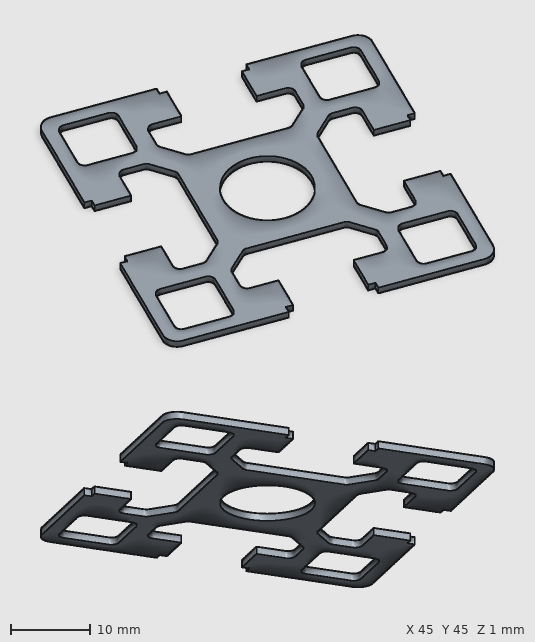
import cadquery as cq
import math


side = 45.0
thickness = 1.0
corner_radius = 2.0
half_side = side / 2

bore_diameter = 12.0

rebate_width = 12.2
rebate_depth = 1.0
mouth_width = 10.2
lip_thickness = 6.0
cavity_width = 20.0
core_width = 19.0
slot_corner_radius = 1.0

web_thickness = 3.5
web_offset = web_thickness / math.sqrt(2)

window_size = 8.05
wall_thickness = 2.0
window_radius = 1.0
window_center = half_side - wall_thickness - window_size / 2


def make_plate():
    plate = cq.Workplane("XY").rect(side, side).extrude(thickness)
    return plate.edges("|Z").fillet(corner_radius)


def make_slot():
    """Cutter for the slot that opens on the +Y side."""
    rebate_floor = half_side - rebate_depth
    lip_back = half_side - lip_thickness
    slot_floor = core_width / 2
    cavity_half_width = cavity_width / 2

    mouth_side = [
        (rebate_width / 2, half_side),
        (rebate_width / 2, rebate_floor),
        (mouth_width / 2, rebate_floor),
        (mouth_width / 2, lip_back),
    ]
    cavity_side = [
        (cavity_half_width, lip_back),
        (cavity_half_width, cavity_half_width + web_offset),
        (slot_floor - web_offset, slot_floor),
    ]
    right_half = mouth_side + cavity_side
    left_half = [(-x, y) for x, y in reversed(right_half)]
    slot = cq.Workplane("XY").polyline(right_half + left_half).close().extrude(thickness)

    for x, y in cavity_side:
        for corner_x in (x, -x):
            corner_edge = cq.selectors.NearestToPointSelector((corner_x, y, thickness / 2))
            slot = slot.edges("|Z").edges(corner_edge).fillet(slot_corner_radius)
    return slot


def make_windows():
    windows = (
        cq.Workplane("XY")
        .rect(2 * window_center, 2 * window_center, forConstruction=True)
        .vertices()
        .rect(window_size, window_size)
        .extrude(thickness)
    )
    return windows.edges("|Z").fillet(window_radius)


def make_bore():
    return cq.Workplane("XY").circle(bore_diameter / 2).extrude(thickness)


result = make_plate().cut(make_windows()).cut(make_bore())

slot_cutter = make_slot()
for quarter_turn in range(4):
    result = result.cut(slot_cutter.rotate((0, 0, 0), (0, 0, 1), 90 * quarter_turn))